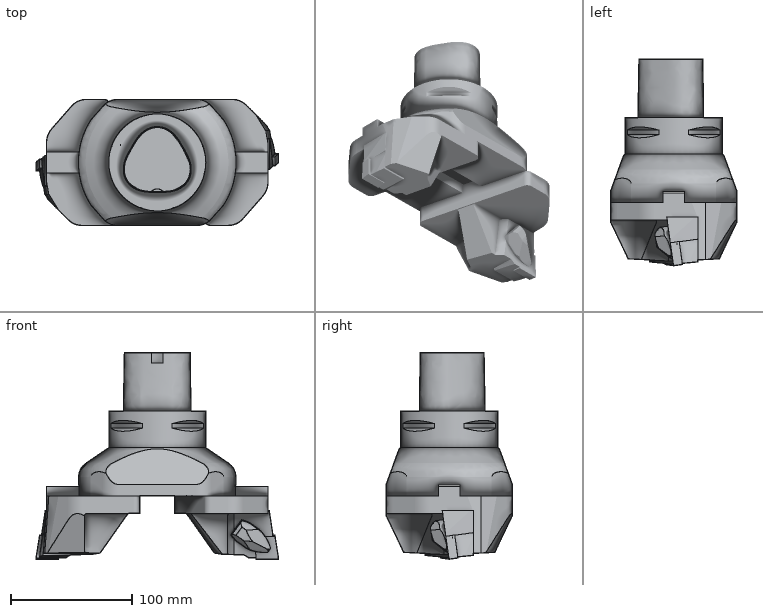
import cadquery as cq
import math

HALF_WIDTH = 52.0
FLAT_CORNER_RADIUS = 16.0
SIZE_OF_CUTTER = 400.0
TOOL_REACH = 120.0
TOOL_MARGIN = 2.0

BASE_RADIUS = 65.0
BASE_FILLET = 14.0
CONE_FOOT_Z = 22.8
FLANGE_RADIUS = 40.0
FLANGE_BOTTOM_Z = 39.8
FLANGE_TOP_Z = 70.0
CORNER_FLAT_ANGLE = 41.6
CORNER_FLAT_DISTANCE = 64.2
SIDE_SLOPE_ANGLE = 20.0
SIDE_SLOPE_Z = 9.5
KEYWAY_DEPTH = 9.0

NOTCH_Z = 57.8
NOTCH_FLOOR_DISTANCE = 35.5
NOTCH_FLOOR_HEIGHT = 3.5
NOTCH_MOUTH_HEIGHT = 9.0

SHANK_TOP_Z = 118.2
SHANK_MEAN_RADIUS = 27.2
SHANK_LOBE_HEIGHT = 2.5
SHANK_TAPER = 0.8
SHANK_CURVE_POINTS = 24
SHANK_GROOVE_RADIUS = 6.5
SHANK_GROOVE_CENTRE_Y = -28.2
SHANK_GROOVE_LENGTH = 8.5

PLATE_THICKNESS = 14.5
KEY_WIDTH = 17.5
KEY_HEIGHT = 8.0
SLIDE_END_X = 91.5
SLIDE_INNER_X_FRONT = 40.2
SLIDE_INNER_X_BACK = 12.8
SLIDE_FRONT_CORNER_X = 65.8
SLIDE_FRONT_CORNER_Y = -22.8
SLIDE_BACK_CORNER_X = 68.5
END_CORNER_RADIUS = 18.0
INNER_CORNER_RADIUS = 5.0
CHEEK_X = 98.0
BLOCK_DEPTH = 52.0
LEG_BOTTOM_Z = -48.5
INNER_SLOPE_FOOT = (24.0, 13.8, -PLATE_THICKNESS)
INNER_SLOPE = 0.81
END_FACE_POINT = (SLIDE_END_X, 15.0, 0)
END_FACE_NORMAL = (1, 0.18, 0.07)
CHEEK_FACE_POINT = (89.5, 26.2, 0)
CHEEK_FACE_NORMAL = (1, 0.62, 0.07)
CORNER_FACE_Z = -16.5
CORNER_FACE_NORMAL = (0.24, 1, -0.48)
LEG_BOTTOM_RISE = 0.05
POCKET_TOP_FILLET = 2.0

RECESS_WALL_X = 60.0
RECESS_WALL_Y = 34.2
RECESS_FLOOR_ANGLE = 30.0
RECESS_RADIUS = 10.0

GULLET_DEPTH = 5.2
GULLET_X = 58.0
SEAT_X = 63.2
SEAT_TOP_Y = -5.8
SEAT_TOP_Z = -12.0
SEAT_TILT = 8.0

BOSS_BACK_Y = 19.8
BOSS_START_X = 71.0
BOSS_FOOT_X = 75.5
BOSS_BOTTOM_Z = -51.0
BOSS_BOTTOM_RISE = 0.1
BOSS_STEP_Z = -33.0
BOSS_UPPER_X = 92.5
BOSS_LOWER_X = 95.5
FLANK_LEAN = 0.15
FLANK_RELIEF = 0.14
UPPER_RELIEF_Y = 18.0
UPPER_RELIEF_NORMAL = (1, 0.1, 0.04)
BACK_BEVEL_POINT = (92.8, BOSS_BACK_Y, -34.5)
BACK_BEVEL_NORMAL = (1, 0.26, 0.1)

INSERT_TOP_Z = -33.2
INSERT_BOTTOM_Z = -52.2
INSERT_THICKNESS = 7.5
INSERT_INNER_TOP_X = 80.5
INSERT_INNER_BOTTOM_X = 81.5
INSERT_OUTER_TOP_X = 97.0
INSERT_OUTER_BOTTOM_X = 100.0

CLAMP_X = 65.2
CLAMP_Z = -25.5
CLAMP_ANGLE = -35.7
CLAMP_LENGTH = 33.2
CLAMP_HALF_WIDTH = 7.5
CLAMP_BELLY = 9.5
CLAMP_TIP_HALF_WIDTH = 2.2
CLAMP_HEIGHT = 11.5
CLAMP_HEEL = (0, 8.8)
CLAMP_CREST = (2.8, CLAMP_HEIGHT)
CLAMP_BACK = (22.0, 8.5)
CLAMP_TIP = (CLAMP_LENGTH, 1.0)
CLAMP_LOWER_EDGE_HEIGHT = 1.5
CLAMP_UPPER_EDGE_HEIGHT = 4.0
CLAMP_CREST_LOWER = -4.5
CLAMP_CREST_UPPER = 4.0
CLAMP_LOWER_FACET_POINT = (9.2, -7.0, 10.5)
CLAMP_LOWER_FACET_NORMAL = (0.58, -0.69, 1)
CLAMP_UPPER_FACET_POINT = (6.0, 4.8, CLAMP_HEIGHT)
CLAMP_UPPER_FACET_NORMAL = (0.47, 0.68, 1)


def half_space(point, normal):
    """Large block that fills the side of a plane its normal points to."""
    plane = cq.Plane(origin=point, normal=normal)
    return cq.Workplane(plane).rect(SIZE_OF_CUTTER, SIZE_OF_CUTTER).extrude(SIZE_OF_CUTTER)


def below_plate(tool):
    """Part of a cutting tool that lies under the slide plate."""
    return tool.intersect(half_space((0, 0, -PLATE_THICKNESS), (0, 0, -1)))


def prism(points, bottom, top):
    """Upright prism on an outline in X and Y."""
    return cq.Workplane("XY").workplane(offset=bottom).polyline(points).close().extrude(top - bottom)


def round_upright_edge(body, corner, radius):
    """Round the upright edge of a prism nearest to a corner of its outline."""
    middle = body.val().Center().z
    return body.edges("|Z").edges(cq.NearestToPointSelector((*corner, middle))).fillet(radius)


def on_both_sides(body):
    """A body on the +X side and its copy turned half a turn about Z."""
    return [body.rotate((0, 0, 0), (0, 0, 1), turn).val() for turn in (0, 180)]


def adapter_base():
    profile = [
        (0, 0),
        (BASE_RADIUS, 0),
        (BASE_RADIUS, CONE_FOOT_Z),
        (FLANGE_RADIUS, FLANGE_BOTTOM_Z),
        (FLANGE_RADIUS, FLANGE_TOP_Z),
        (0, FLANGE_TOP_Z),
    ]
    base = cq.Workplane("XZ").polyline(profile).close().revolve(360, (0, 0, 0), (0, 1, 0))
    shoulder = cq.selectors.BoxSelector(
        (-SIZE_OF_CUTTER, -SIZE_OF_CUTTER, CONE_FOOT_Z - TOOL_MARGIN),
        (SIZE_OF_CUTTER, SIZE_OF_CUTTER, CONE_FOOT_Z + TOOL_MARGIN),
    )
    base = base.edges("%CIRCLE").edges(shoulder).fillet(BASE_FILLET)
    return base.intersect(base_envelope())


def base_envelope():
    """Flat-sided prism with rounded corners that trims the round base."""
    angle = math.radians(CORNER_FLAT_ANGLE)
    reach = BASE_RADIUS + TOOL_MARGIN
    corner_x = (CORNER_FLAT_DISTANCE - HALF_WIDTH * math.sin(angle)) / math.cos(angle)
    reach_y = (CORNER_FLAT_DISTANCE - reach * math.cos(angle)) / math.sin(angle)
    quarter = [(reach, reach_y), (corner_x, HALF_WIDTH)]
    right = [(x, -y) for x, y in reversed(quarter)] + quarter
    left = [(-x, -y) for x, y in right]
    envelope = prism(right + left, 0, FLANGE_TOP_Z)
    for side_x in (-1, 1):
        for side_y in (-1, 1):
            corner = (side_x * corner_x, side_y * HALF_WIDTH)
            envelope = round_upright_edge(envelope, corner, FLAT_CORNER_RADIUS)
    slope = math.radians(SIDE_SLOPE_ANGLE)
    for side in (-1, 1):
        normal = (0, side * math.cos(slope), math.sin(slope))
        sloping = half_space((0, side * HALF_WIDTH, SIDE_SLOPE_Z), normal)
        envelope = envelope.cut(sloping)
    flange_height = FLANGE_TOP_Z - FLANGE_BOTTOM_Z
    flange = cq.Workplane("XY").workplane(offset=FLANGE_BOTTOM_Z).circle(FLANGE_RADIUS + TOOL_MARGIN)
    return envelope.union(flange.extrude(flange_height))


def gripper_notch():
    """Trapezoid groove along a chord of the flange, on the +X side."""
    depth = FLANGE_RADIUS - NOTCH_FLOOR_DISTANCE
    profile = [
        (NOTCH_FLOOR_DISTANCE, NOTCH_Z - NOTCH_FLOOR_HEIGHT / 2),
        (NOTCH_FLOOR_DISTANCE + depth, NOTCH_Z - NOTCH_MOUTH_HEIGHT / 2),
        (NOTCH_FLOOR_DISTANCE + depth, NOTCH_Z + NOTCH_MOUTH_HEIGHT / 2),
        (NOTCH_FLOOR_DISTANCE, NOTCH_Z + NOTCH_FLOOR_HEIGHT / 2),
    ]
    return cq.Workplane("XZ").polyline(profile).close().extrude(FLANGE_RADIUS, both=True)


def shank_outline(mean_radius):
    """Three-lobed closed curve with one lobe toward +Y."""
    points = []
    for step in range(SHANK_CURVE_POINTS):
        angle = 2 * math.pi * step / SHANK_CURVE_POINTS
        radius = mean_radius - SHANK_LOBE_HEIGHT * math.sin(3 * angle)
        points.append((radius * math.cos(angle), radius * math.sin(angle)))
    return points


def shank():
    height = SHANK_TOP_Z - FLANGE_TOP_Z
    body = cq.Workplane("XY").workplane(offset=FLANGE_TOP_Z)
    body = body.spline(shank_outline(SHANK_MEAN_RADIUS), periodic=True).close()
    body = body.workplane(offset=height)
    body = body.spline(shank_outline(SHANK_MEAN_RADIUS - SHANK_TAPER), periodic=True).close()
    body = body.loft(ruled=True, combine=True)
    groove = cq.Workplane("XY").workplane(offset=SHANK_TOP_Z - SHANK_GROOVE_LENGTH)
    groove = groove.center(0, SHANK_GROOVE_CENTRE_Y).circle(SHANK_GROOVE_RADIUS)
    return body.cut(groove.extrude(SHANK_GROOVE_LENGTH))


def make_adapter():
    body = adapter_base()
    for turn in (45, 135, 225, 315):
        body = body.cut(gripper_notch().rotate((0, 0, 0), (0, 0, 1), turn))
    keyway = cq.Workplane("XY").rect(SIZE_OF_CUTTER, KEY_WIDTH).extrude(KEYWAY_DEPTH)
    return body.cut(keyway).union(shank())


TILT = math.radians(SEAT_TILT)
SEAT_NORMAL = (0, -math.cos(TILT), -math.sin(TILT))


def seat_point(x, z):
    """Point of the tilted seat plane at a given X and Z."""
    return (x, SEAT_TOP_Y + (SEAT_TOP_Z - z) * math.tan(TILT), z)


def make_insert():
    plane = cq.Plane(origin=seat_point(0, 0), xDir=(1, 0, 0), normal=SEAT_NORMAL)
    outline = [
        (INSERT_INNER_TOP_X, INSERT_TOP_Z),
        (INSERT_OUTER_TOP_X, INSERT_TOP_Z),
        (INSERT_OUTER_BOTTOM_X, INSERT_BOTTOM_Z),
        (INSERT_INNER_BOTTOM_X, INSERT_BOTTOM_Z),
    ]
    on_seat = [(x, z / math.cos(TILT)) for x, z in outline]
    return cq.Workplane(plane).polyline(on_seat).close().extrude(-INSERT_THICKNESS)


def slide_block():
    """Slide outline, full depth, with its bulging end trimmed by leaning faces."""
    front_corner = (SLIDE_FRONT_CORNER_X, -HALF_WIDTH)
    end_corner = (SLIDE_END_X, SLIDE_FRONT_CORNER_Y)
    back_corner = (SLIDE_BACK_CORNER_X, HALF_WIDTH)
    inner_front = (SLIDE_INNER_X_FRONT, -HALF_WIDTH)
    inner_back = (SLIDE_INNER_X_BACK, HALF_WIDTH)
    cheek_y = SLIDE_BACK_CORNER_X + HALF_WIDTH - CHEEK_X
    outline = [
        inner_front,
        front_corner,
        end_corner,
        (SLIDE_END_X, BOSS_BACK_Y),
        (CHEEK_X, BOSS_BACK_Y),
        (CHEEK_X, cheek_y),
        back_corner,
        inner_back,
    ]
    block = prism(outline, -BLOCK_DEPTH, 0)
    block = round_upright_edge(block, front_corner, FLAT_CORNER_RADIUS)
    block = round_upright_edge(block, back_corner, FLAT_CORNER_RADIUS)
    block = round_upright_edge(block, end_corner, END_CORNER_RADIUS)
    block = round_upright_edge(block, inner_front, INNER_CORNER_RADIUS)
    block = round_upright_edge(block, inner_back, INNER_CORNER_RADIUS)
    end_face = half_space(END_FACE_POINT, END_FACE_NORMAL)
    cheek_face = half_space(CHEEK_FACE_POINT, CHEEK_FACE_NORMAL)
    corner_face = half_space((RECESS_WALL_X, HALF_WIDTH, CORNER_FACE_Z), CORNER_FACE_NORMAL)
    underside = half_space((0, 0, LEG_BOTTOM_Z), (0, LEG_BOTTOM_RISE, -1))
    for face in (end_face, cheek_face, corner_face, underside):
        block = block.cut(face)
    return block


def inner_slope():
    """Space under the plate, inward of the leaning inner face of the leg."""
    lean_in_plan = (SLIDE_INNER_X_FRONT - SLIDE_INNER_X_BACK) / (2 * HALF_WIDTH)
    return below_plate(half_space(INNER_SLOPE_FOOT, (-1, -lean_in_plan, -INNER_SLOPE)))


def back_recess():
    """Space under the plate behind the leg, with a rounded inner corner."""
    floor_drop = TOOL_REACH * math.tan(math.radians(RECESS_FLOOR_ANGLE))
    corner = (RECESS_WALL_X, RECESS_WALL_Y)
    outline = [
        corner,
        (RECESS_WALL_X, TOOL_REACH),
        (RECESS_WALL_X - TOOL_REACH, TOOL_REACH),
        (RECESS_WALL_X - TOOL_REACH, RECESS_WALL_Y - floor_drop),
    ]
    tool = prism(outline, -2 * BLOCK_DEPTH, -PLATE_THICKNESS)
    tool = round_upright_edge(tool, corner, RECESS_RADIUS)
    return tool.faces(">Z").edges().fillet(POCKET_TOP_FILLET)


def front_gullet():
    """Space under the plate in front of the leg: gullet floor, step and tilted insert seat."""
    outline = [
        (-TOOL_REACH, GULLET_DEPTH),
        (GULLET_X, GULLET_DEPTH),
        (SEAT_X, 0),
        (TOOL_REACH, 0),
        (TOOL_REACH, -TOOL_REACH),
        (-TOOL_REACH, -TOOL_REACH),
    ]
    tool = prism(outline, -TOOL_REACH, TOOL_REACH).rotate((0, 0, 0), (1, 0, 0), SEAT_TILT)
    tool = below_plate(tool.translate(seat_point(0, -PLATE_THICKNESS)))
    return tool.faces(">Z").edges(">Y").fillet(POCKET_TOP_FILLET)


def insert_boss():
    """Bulge on the slide end that backs the insert."""
    outline = [
        (BOSS_START_X, LEG_BOTTOM_Z),
        (BOSS_FOOT_X, BOSS_BOTTOM_Z),
        (CHEEK_X, BOSS_BOTTOM_Z),
        (CHEEK_X, SEAT_TOP_Z),
        (BOSS_START_X, SEAT_TOP_Z),
    ]
    boss = cq.Workplane("XZ", origin=(0, SEAT_TOP_Y, 0)).polyline(outline).close()
    boss = boss.extrude(SEAT_TOP_Y - BOSS_BACK_Y)
    boss = boss.cut(half_space((0, 0, BOSS_BOTTOM_Z), (0, BOSS_BOTTOM_RISE, -1)))
    step = half_space((0, 0, BOSS_STEP_Z), (0, -math.sin(TILT), math.cos(TILT)))
    upper_faces = half_space((BOSS_UPPER_X, 0, SEAT_TOP_Z), (1, 0, FLANK_LEAN))
    upper_relief = half_space((BOSS_UPPER_X, UPPER_RELIEF_Y, SEAT_TOP_Z), UPPER_RELIEF_NORMAL)
    upper_faces = upper_faces.union(upper_relief)
    lower_face = half_space((BOSS_LOWER_X, 0, BOSS_STEP_Z), (1, FLANK_RELIEF, FLANK_LEAN))
    back_bevel = half_space(BACK_BEVEL_POINT, BACK_BEVEL_NORMAL)
    lower_faces = lower_face.union(back_bevel)
    return boss.cut(upper_faces.intersect(step)).cut(lower_faces.cut(step))


def make_slide(insert):
    slide = slide_block()
    slide = slide.cut(inner_slope()).cut(back_recess())
    slide = slide.union(insert_boss()).cut(front_gullet())
    above_seat = half_space(seat_point(0, 0), SEAT_NORMAL)
    slide = slide.cut(above_seat.intersect(half_space((SLIDE_END_X, 0, 0), (1, 0, 0))))
    key = cq.Workplane("XY").rect(2 * SLIDE_END_X, KEY_WIDTH).extrude(KEY_HEIGHT)
    inner_end = (SLIDE_INNER_X_FRONT - SLIDE_INNER_X_BACK, 2 * HALF_WIDTH)
    middle_x = (SLIDE_INNER_X_FRONT + SLIDE_INNER_X_BACK) / 2
    key = key.cut(half_space((middle_x, 0, 0), (-inner_end[1], -inner_end[0], 0)))
    return slide.union(key).cut(insert)


def make_clamp():
    """Tapering bullet-shaped clamp that lies on the seat and points along the insert."""
    angle = math.radians(CLAMP_ANGLE)
    plane = cq.Plane(
        origin=seat_point(CLAMP_X, CLAMP_Z),
        xDir=(math.cos(angle), -math.sin(angle) * math.sin(TILT), math.sin(angle) * math.cos(TILT)),
        normal=SEAT_NORMAL,
    )
    belly_at = CLAMP_LENGTH / 2
    footprint = cq.Workplane("XY").moveTo(0, CLAMP_HALF_WIDTH)
    footprint = footprint.threePointArc((belly_at, CLAMP_BELLY), (CLAMP_LENGTH, CLAMP_TIP_HALF_WIDTH))
    footprint = footprint.lineTo(CLAMP_LENGTH, -CLAMP_TIP_HALF_WIDTH)
    footprint = footprint.threePointArc((belly_at, -CLAMP_BELLY), (0, -CLAMP_HALF_WIDTH)).close()
    footprint = footprint.extrude(CLAMP_HEIGHT)
    side = cq.Workplane("XZ").moveTo(0, 0).lineTo(*CLAMP_HEEL).lineTo(*CLAMP_CREST)
    side = side.threePointArc(CLAMP_BACK, CLAMP_TIP).lineTo(CLAMP_LENGTH, 0).close()
    side = side.extrude(CLAMP_LENGTH, both=True)
    section = cq.Workplane("YZ").moveTo(-CLAMP_BELLY, 0).lineTo(-CLAMP_BELLY, CLAMP_LOWER_EDGE_HEIGHT)
    section = section.lineTo(CLAMP_CREST_LOWER, CLAMP_HEIGHT)
    section = section.lineTo(CLAMP_CREST_UPPER, CLAMP_HEIGHT)
    section = section.lineTo(CLAMP_BELLY, CLAMP_UPPER_EDGE_HEIGHT).lineTo(CLAMP_BELLY, 0).close()
    section = section.extrude(CLAMP_LENGTH)
    clamp = footprint.intersect(side).intersect(section)
    clamp = clamp.cut(half_space(CLAMP_LOWER_FACET_POINT, CLAMP_LOWER_FACET_NORMAL))
    clamp = clamp.cut(half_space(CLAMP_UPPER_FACET_POINT, CLAMP_UPPER_FACET_NORMAL))
    return cq.Workplane(clamp.val().moved(plane.location))


adapter = make_adapter()
insert = make_insert()
slide = make_slide(insert)
clamp = make_clamp()

result = cq.Compound.makeCompound(
    [adapter.val(), *on_both_sides(slide), *on_both_sides(insert), *on_both_sides(clamp)]
)